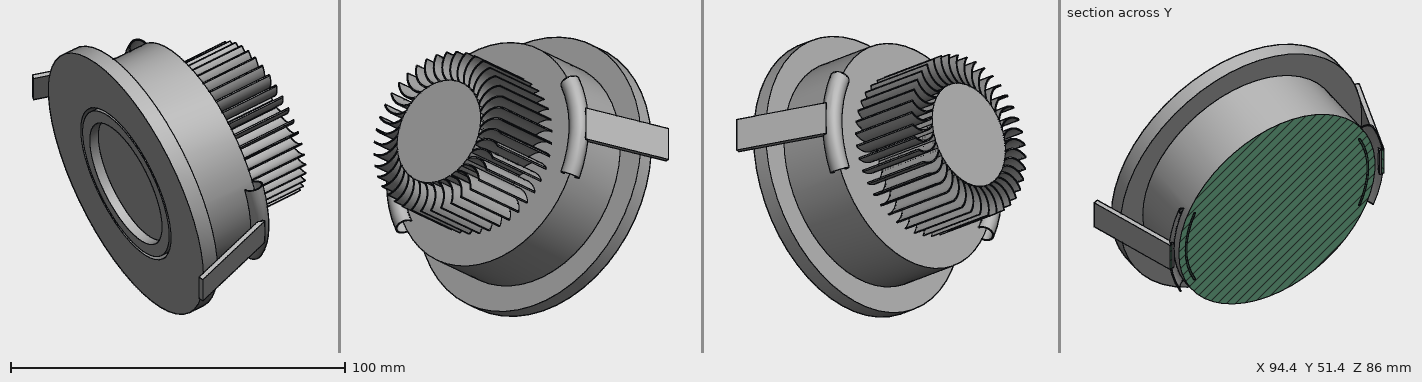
import cadquery as cq
import math


FLANGE_DIAMETER = 86.0
FLANGE_RADIUS = FLANGE_DIAMETER / 2
FLANGE_THICKNESS = 5.0
BARREL_RADIUS = 35.0
BARREL_REAR = 25.0
SINK_RADIUS = 25.0
SINK_REAR = 48.0
GROOVE_OUTER_RADIUS = SINK_RADIUS
GROOVE_WIDTH = 1.0
GROOVE_DEPTH = FLANGE_THICKNESS
RECESS_RADIUS = 20.0
RECESS_DEPTH = 3.0

CORE_RADIUS = 16.05
FIN_COUNT = 40
FIN_PITCH_ANGLE = 360 / FIN_COUNT
FIRST_FIN_ANGLE = 88.5
FIN_THICKNESS = 0.4
FIN_INNER_CURVE = 6.6
FIN_OUTER_CURVE = FIN_INNER_CURVE + FIN_THICKNESS
FIN_CURVE_CENTER_X = 21.15
FIN_CURVE_CENTER_Z = 5.4
FIN_ROOT_ANGLE = -150
FIN_TIP_ANGLE = -35

TUBE_RADIUS = 2.9
TUBE_WALL = 0.4
TUBE_SWEEP_ANGLE = 50.5
TUBE_PATH_RADIUS = 35.1
TUBE_CENTER_Y = 24.8
LEG_WIDTH = 10.0
LEG_THICKNESS = 1.5
LEG_ROOT_X = TUBE_PATH_RADIUS + TUBE_RADIUS
LEG_ROOT_Y = BARREL_REAR
LEG_TIP_X = 47.2
LEG_TIP_Y = -2.9
LEG_ANGLE = math.atan2(LEG_TIP_X - LEG_ROOT_X, LEG_ROOT_Y - LEG_TIP_Y)


def disc(radius, front, rear):
    """A solid disc on the lamp axis, from y = front to y = rear."""
    return cq.Workplane("XZ", origin=(0, front, 0)).circle(radius).extrude(front - rear)


def fin_point(radius, angle):
    """A point (x, z) on one of the two concentric curves of a fin."""
    turn = math.radians(angle)
    return (
        FIN_CURVE_CENTER_X + radius * math.cos(turn),
        FIN_CURVE_CENTER_Z + radius * math.sin(turn),
    )


def make_fin():
    """One curved fin whose tip lies on the +X side."""
    middle_angle = (FIN_ROOT_ANGLE + FIN_TIP_ANGLE) / 2
    blade = (
        cq.Workplane("XZ", origin=(0, BARREL_REAR, 0))
        .moveTo(*fin_point(FIN_INNER_CURVE, FIN_ROOT_ANGLE))
        .threePointArc(fin_point(FIN_INNER_CURVE, middle_angle), fin_point(FIN_INNER_CURVE, FIN_TIP_ANGLE))
        .lineTo(*fin_point(FIN_OUTER_CURVE, FIN_TIP_ANGLE))
        .threePointArc(fin_point(FIN_OUTER_CURVE, middle_angle), fin_point(FIN_OUTER_CURVE, FIN_ROOT_ANGLE))
        .close()
        .extrude(BARREL_REAR - SINK_REAR)
    )
    return blade.intersect(disc(SINK_RADIUS, BARREL_REAR, SINK_REAR))


def make_heat_sink():
    """The core with its ring of fins."""
    fin = make_fin()
    sink = disc(CORE_RADIUS, BARREL_REAR, SINK_REAR)
    for index in range(FIN_COUNT):
        angle = FIRST_FIN_ANGLE + index * FIN_PITCH_ANGLE
        sink = sink.union(fin.rotate((0, 0, 0), (0, -1, 0), angle))
    return sink


def make_housing(clips):
    """Flange, barrel and heat sink in one piece, with slots where the clips enter the rear rim."""
    housing = disc(FLANGE_RADIUS, 0, FLANGE_THICKNESS)
    housing = housing.union(disc(BARREL_RADIUS, FLANGE_THICKNESS, BARREL_REAR))
    groove_core = disc(GROOVE_OUTER_RADIUS - GROOVE_WIDTH, 0, GROOVE_DEPTH)
    housing = housing.cut(disc(GROOVE_OUTER_RADIUS, 0, GROOVE_DEPTH).cut(groove_core))
    housing = housing.cut(disc(RECESS_RADIUS, 0, RECESS_DEPTH))
    housing = housing.union(make_heat_sink())
    for clip in clips:
        housing = housing.cut(clip)
    return housing


def make_clip_tube():
    """The hollow curved tube of the clip on the -X side, centred on z = 0."""
    tube = (
        cq.Workplane("XY")
        .center(-TUBE_PATH_RADIUS, TUBE_CENTER_Y)
        .circle(TUBE_RADIUS)
        .circle(TUBE_RADIUS - TUBE_WALL)
        .revolve(TUBE_SWEEP_ANGLE, (TUBE_PATH_RADIUS, 0, 0), (TUBE_PATH_RADIUS, 1, 0))
    )
    return tube.rotate((0, 0, 0), (0, 1, 0), -TUBE_SWEEP_ANGLE / 2)


def make_clip_leg():
    """The flat leg that slants forward and outward from the tube on the -X side."""
    inward_x = LEG_THICKNESS * math.cos(LEG_ANGLE)
    inward_y = LEG_THICKNESS * math.sin(LEG_ANGLE)
    return (
        cq.Workplane("XY")
        .moveTo(-LEG_ROOT_X, LEG_ROOT_Y)
        .lineTo(-LEG_TIP_X, LEG_TIP_Y)
        .lineTo(-LEG_TIP_X + inward_x, LEG_TIP_Y - inward_y)
        .lineTo(-LEG_ROOT_X + inward_x, LEG_ROOT_Y - inward_y)
        .close()
        .extrude(LEG_WIDTH / 2, both=True)
    )


def make_clip(side_angle):
    """One spring clip, turned about the lamp axis from the -X side."""
    clip = make_clip_tube().union(make_clip_leg())
    return clip.rotate((0, 0, 0), (0, 1, 0), side_angle)


clips = [make_clip(side_angle) for side_angle in (0, 180)]
housing = make_housing(clips)

result = cq.Compound.makeCompound([housing.val(), *[clip.val() for clip in clips]])